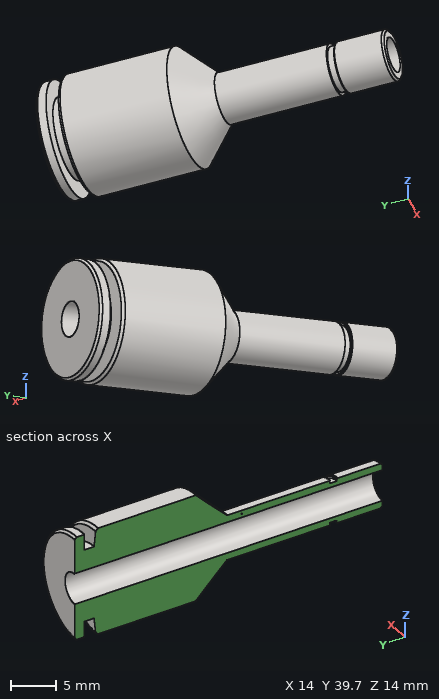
import cadquery as cq

total_length = 39.7

bore_radius = 2.0
stem_radius = 2.98
groove_radius = 2.62
body_radius = 7.007
collar_radius = 4.75
flange_radius = 6.8

groove_start = 5.9
groove_end = 6.75
cone_start = 20.0
cone_end = cone_start + (body_radius - stem_radius)
body_end = 37.0
flange_start = 38.43

tip_chamfer = 0.25
groove_chamfer = 0.1
body_chamfer = 0.3
flange_chamfer = 0.28
body_face_rise = 0.2


def turn(profile):
    """Revolve a closed (radius, Y) profile around the Y axis."""
    return profile.close().revolve(360, (0, 0, 0), (0, 1, 0))


def make_stem_and_body():
    profile = (
        cq.Workplane("XY")
        .moveTo(0, 0)
        .lineTo(stem_radius - tip_chamfer, 0)
        .lineTo(stem_radius, tip_chamfer)
        .lineTo(stem_radius, groove_start - groove_chamfer)
        .lineTo(stem_radius - groove_chamfer, groove_start)
        .lineTo(groove_radius, groove_start)
        .lineTo(groove_radius, groove_end)
        .lineTo(stem_radius, groove_end)
        .lineTo(stem_radius, cone_start)
        .lineTo(body_radius, cone_end)
        .lineTo(body_radius, body_end - body_chamfer)
        .lineTo(body_radius - body_chamfer, body_end)
        .lineTo(collar_radius, body_end + body_face_rise)
        .lineTo(0, body_end + body_face_rise)
    )
    return turn(profile)


def make_release_button():
    """Collar and flange of the push-in release button."""
    profile = (
        cq.Workplane("XY")
        .moveTo(0, body_end)
        .lineTo(collar_radius, body_end)
        .lineTo(collar_radius, flange_start)
        .lineTo(flange_radius, flange_start)
        .lineTo(flange_radius, total_length - flange_chamfer)
        .lineTo(flange_radius - flange_chamfer, total_length)
        .lineTo(0, total_length)
    )
    return turn(profile)


def make_bore():
    """Straight bore through the full length."""
    return turn(
        cq.Workplane("XY")
        .moveTo(0, 0)
        .lineTo(bore_radius, 0)
        .lineTo(bore_radius, total_length)
        .lineTo(0, total_length)
    )


result = make_stem_and_body().union(make_release_button()).cut(make_bore())